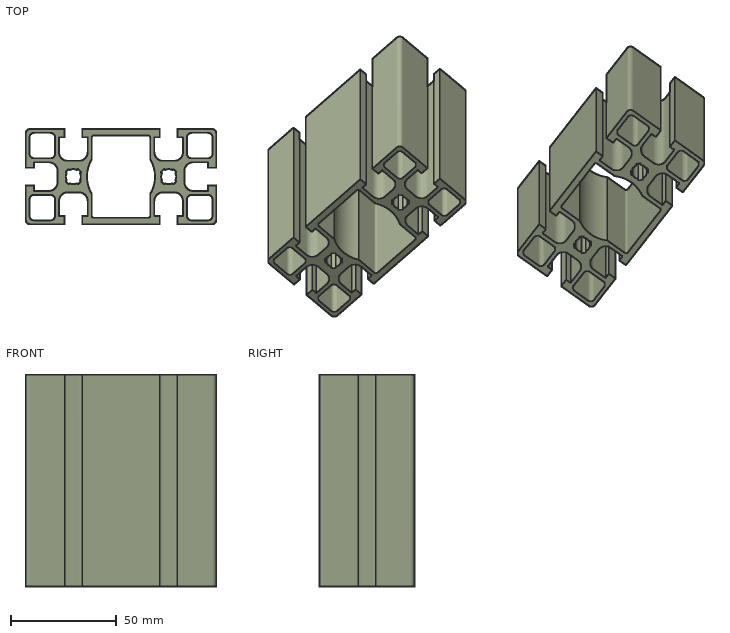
import cadquery as cq

module = 45.0
length = 100.0
width = 2 * module
corner_radius = 2.0
half_module = module / 2

wall = 2.0
outer_wall = 1.9

slot_opening = 8.2
slot_inner_width = 13.4
slot_depth = 15.0
lip_thickness = 4.0
slot_floor_radius = 4.0

chamber_size = half_module - slot_inner_width / 2 - wall - outer_wall
chamber_radius = 2.0
chamber_offset = outer_wall + chamber_size / 2

face_wall = 3.1
center_width = module - slot_inner_width - 2 * wall
center_height = module - 2 * face_wall
center_radius = 1.0
center_bore_diameter = 32.0

core_diameter = 7.0
groove_width = 2.1
groove_span = 8.2


def bar(size_x, size_y):
    """Rectangular bar over the full length, centred on the Z axis."""
    return cq.Workplane("XY").rect(size_x, size_y).extrude(length)


def rounded_bar(size_x, size_y, radius):
    """Rectangular bar with its four long edges rounded."""
    return bar(size_x, size_y).edges("|Z").fillet(radius)


def t_slot():
    """Cutter for one slot of a module, opening towards +Y."""
    inner_depth = slot_depth - lip_thickness
    floor_y = half_module - slot_depth
    inner = (
        bar(slot_inner_width, inner_depth)
        .edges("|Z and <Y")
        .fillet(slot_floor_radius)
        .translate((0, floor_y + inner_depth / 2, 0))
    )
    opening = bar(slot_opening, lip_thickness).translate((0, half_module - lip_thickness / 2, 0))
    return inner.union(opening)


def core_bore():
    """Cutter for the round core bore and its diagonal grooves."""
    bore = cq.Workplane("XY").circle(core_diameter / 2).extrude(length)
    groove_circle = cq.Workplane("XY").circle(groove_span / 2).extrude(length)
    for angle in (45, 135):
        groove = bar(groove_span, groove_width).rotate((0, 0, 0), (0, 0, 1), angle)
        bore = bore.union(groove.intersect(groove_circle))
    return bore


def center_chamber():
    """Cutter for the large chamber between the two modules."""
    chamber = rounded_bar(center_width, center_height, center_radius)
    bore = cq.Workplane("XY").circle(center_bore_diameter / 2).extrude(length)
    return chamber.union(bore)


profile = rounded_bar(width, module, corner_radius).cut(center_chamber())

for side in (-1, 1):
    module_x = side * half_module
    for angle in (0, 180, -90 * side):
        slot = t_slot().rotate((0, 0, 0), (0, 0, 1), angle)
        profile = profile.cut(slot.translate((module_x, 0, 0)))
    profile = profile.cut(core_bore().translate((module_x, 0, 0)))
    for face in (-1, 1):
        chamber_x = side * (width / 2 - chamber_offset)
        chamber_y = face * (half_module - chamber_offset)
        chamber = rounded_bar(chamber_size, chamber_size, chamber_radius)
        profile = profile.cut(chamber.translate((chamber_x, chamber_y, 0)))

result = profile